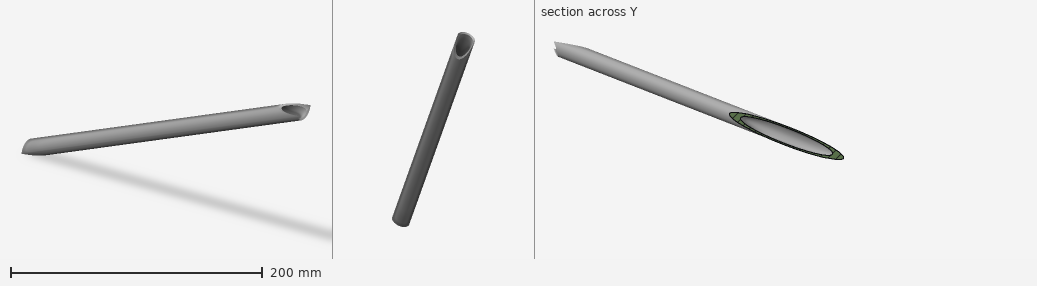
import cadquery as cq
import math

outer_radius = 7.5
wall = 1.5
joint = cq.Vector(184.5, -30.3, 72.0)
overrun = 37.0

shallow_angle = 28.5
steep_angle = 85.0
mating_length = 221.5

tube_direction = joint.normalized()
saddle_line = tube_direction.cross(cq.Vector(1, 0, 0)).normalized()
tube_top = tube_direction.cross(saddle_line)


def rod(center, direction, radius, length):
    """Solid cylinder of the given length centred on a point."""
    start = center - direction * (length / 2)
    return cq.Workplane(cq.Solid.makeCylinder(radius, length, start, direction))


def mating_direction(angle):
    """Direction tilted down from the tube axis by an angle in degrees."""
    tilt = math.radians(angle)
    return tube_direction * math.cos(tilt) - tube_top * math.sin(tilt)


tube_length = 2 * (joint.Length + overrun)
origin = cq.Vector(0, 0, 0)
tube = rod(origin, tube_direction, outer_radius, tube_length)
tube = tube.cut(rod(origin, tube_direction, outer_radius - wall, tube_length))

for end in (joint, joint * -1):
    for angle in (shallow_angle, steep_angle):
        tube = tube.cut(rod(end, mating_direction(angle), outer_radius, mating_length))

result = cq.Workplane(min(tube.solids().vals(), key=lambda solid: solid.Center().Length))